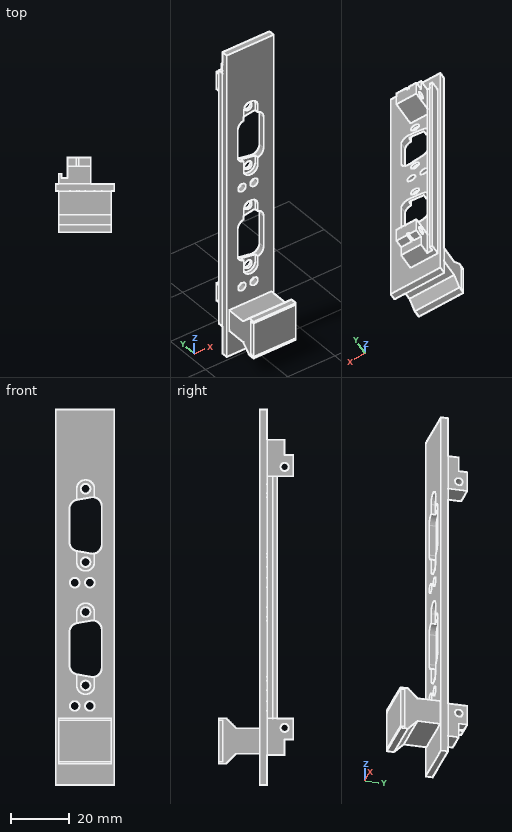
import cadquery as cq
import math


panel_width = 20.0
panel_height = 128.0
panel_thickness = 2.5

connector_x = 10.2
lower_connector_z = 46.5
connector_pitch = 42.0
connector_count = 2
cutout_width = 10.9
cutout_mean_height = 18.4
cutout_slant = math.radians(10)
cutout_corner_radius = 3.0
screw_spacing = 25.0
screw_hole_diameter = 3.2
recess_width = 6.0
recess_depth = 1.5

indicator_x_positions = (6.5, 11.65)
indicator_drop = 19.5
indicator_diameter = 3.2

side_margin = 1.0
lip_thickness = 1.0
lip_height = 3.5
rail_width = 3.0
rail_thickness = 2.0
holder_end_margin = 10.25
lug_width = 8.0
lug_height = 12.5
lug_reach = 9.0
lug_step_height = 5.25
lug_step_reach = 6.0
lug_hole_diameter = 2.7
lug_hole_inset = 9.3
lug_hole_reach = 6.0
slit_offset = 3.0
slit_width = 0.8
slit_depth = 1.0

handle_width = panel_width - 2 * side_margin
handle_reach = 14.0
handle_center_z = 15.1
handle_neck_height = 8.75
handle_head_height = 15.6
handle_neck_reach = 8.0
handle_flare = (handle_head_height - handle_neck_height) / 2
label_height = 14.2
label_thickness = 1.5

panel_back = panel_thickness
holder_height = panel_height - 2 * holder_end_margin
panel_middle_z = panel_height / 2
connector_z_positions = [lower_connector_z + i * connector_pitch for i in range(connector_count)]


def block(x_start, x_size, y_start, y_size, z_start, z_size):
    """Box given by its lower corner and its size along each axis."""
    return cq.Workplane().box(x_size, y_size, z_size, centered=False).translate((x_start, y_start, z_start))


def front_plane(x, z):
    """Workplane on the panel's front face; extrude negative to go into the panel."""
    return cq.Workplane("XZ", origin=(x, 0, z))


def round_hole(x, z, diameter):
    return front_plane(x, z).circle(diameter / 2).extrude(-panel_thickness)


def d_cutout():
    """D-shaped opening, taller on its +X side, with rounded corners."""
    half_width = cutout_width / 2
    slant_rise = half_width * math.tan(cutout_slant)
    tall = cutout_mean_height / 2 + slant_rise
    short = cutout_mean_height / 2 - slant_rise
    corners = [(-half_width, -short), (half_width, -tall), (half_width, tall), (-half_width, short)]
    outline = front_plane(0, 0).polyline(corners).close().extrude(-panel_thickness)
    return outline.edges("|Y").fillet(cutout_corner_radius)


def connector_opening(z):
    """All the material removed for one connector and its indicators."""
    recess = front_plane(connector_x, z).slot2D(screw_spacing + recess_width, recess_width, 90)
    opening = recess.extrude(-recess_depth)
    opening = opening.union(d_cutout().translate((connector_x, 0, z)))
    for side in (-1, 1):
        opening = opening.union(round_hole(connector_x, z + side * screw_spacing / 2, screw_hole_diameter))
    for x in indicator_x_positions:
        opening = opening.union(round_hole(x, z - indicator_drop, indicator_diameter))
    return opening


def make_panel():
    panel = block(0, panel_width, 0, panel_thickness, 0, panel_height)
    for z in connector_z_positions:
        panel = panel.cut(connector_opening(z))
    return panel


def make_lower_lug():
    """Stepped lug with a cross hole and a shallow slit in the step face."""
    left = side_margin + rail_width
    bottom = holder_end_margin
    step_back = panel_back + lug_step_reach
    nose_reach = lug_reach - lug_step_reach
    step_z = bottom + lug_step_height
    lug = block(left, lug_width, panel_back, lug_reach, bottom, lug_height)
    lug = lug.cut(block(left, lug_width, step_back, nose_reach, bottom, lug_step_height))
    lug = lug.cut(block(left + slit_offset, slit_width, step_back, nose_reach, step_z, slit_depth))
    hole_origin = (left, panel_back + lug_hole_reach, bottom + lug_hole_inset)
    hole = cq.Workplane("YZ", origin=hole_origin).circle(lug_hole_diameter / 2).extrude(lug_width)
    return lug.cut(hole)


def make_board_holder():
    rail = block(side_margin, rail_width, panel_back, rail_thickness, holder_end_margin, holder_height)
    lip = block(side_margin, lip_thickness, panel_back, lip_height, holder_end_margin, holder_height)
    lower_lug = make_lower_lug()
    upper_lug = lower_lug.mirror("XY", (0, 0, panel_middle_z))
    return rail.union(lip).union(lower_lug).union(upper_lug)


def make_label():
    return block(
        side_margin, handle_width,
        -handle_reach, label_thickness,
        handle_center_z - label_height / 2, label_height,
    )


def make_handle():
    """Flared grip with a full-width groove that holds the label strip."""
    half_neck = handle_neck_height / 2
    half_head = handle_head_height / 2
    flare_end = handle_neck_reach + handle_flare
    upper_profile = [
        (0, half_neck),
        (-handle_neck_reach, half_neck),
        (-flare_end, half_head),
        (-handle_reach, half_head),
    ]
    lower_profile = [(y, -z) for y, z in reversed(upper_profile)]
    profile = cq.Workplane("YZ", origin=(side_margin, 0, handle_center_z))
    grip = profile.polyline(upper_profile + lower_profile).close().extrude(handle_width)
    return grip.cut(make_label())


panel = make_panel()
board_holder = make_board_holder()
handle = make_handle()
label = make_label()

result = cq.Compound.makeCompound([panel.val(), board_holder.val(), handle.val(), label.val()])